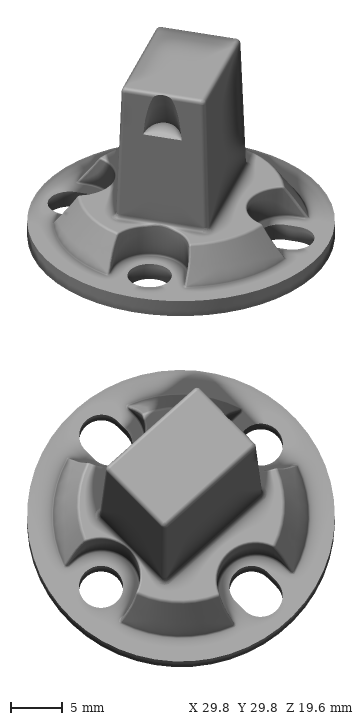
import cadquery as cq
import math

flange_radius = 14.9
flange_thickness = 1.7
bolt_circle_radius = 10.62
hole_diameter = 4.3
slot_stretch = 1.25

hub_base_radius = 12.4
hub_top_radius = 10.0
hub_top_z = 5.1
hub_rim_fillet = 0.4
notch_radius = 3.8
notch_fillet = 0.2

total_height = 19.6
post_top_width = 8.5
post_top_depth = 12.35
post_draft = 1.8
post_fillet = 0.45

recess_floor_z = 14.88
recess_radius = 1.97
recess_axis_offset = 0.4
recess_axis_tilt = 16.4
recess_floor_tilt = 30.0

pick_tolerance = 0.005

post_height = total_height - hub_top_z
draft_slope = math.tan(math.radians(post_draft))
post_base_width = post_top_width + 2 * post_height * draft_slope
post_base_depth = post_top_depth + 2 * post_height * draft_slope


def level_edges(z, half_width, half_depth):
    """Selector for edges at height z that stay inside a centred rectangle."""
    reach_x = half_width + pick_tolerance
    reach_y = half_depth + pick_tolerance
    return cq.selectors.BoxSelector(
        (-reach_x, -reach_y, z - pick_tolerance),
        (reach_x, reach_y, z + pick_tolerance),
        boundingbox=True,
    )


def make_cone():
    """Truncated cone standing on the flange, with a rounded upper rim."""
    profile = [
        (0, flange_thickness),
        (hub_base_radius, flange_thickness),
        (hub_top_radius, hub_top_z),
        (0, hub_top_z),
    ]
    cone = cq.Workplane("XZ").polyline(profile).close().revolve(360, (0, 0), (0, 1))
    return cone.faces(">Z").edges().fillet(hub_rim_fillet)


def make_post():
    """Drafted block with rounded side edges and a rounded top."""
    post = (
        cq.Workplane("XY", origin=(0, 0, hub_top_z))
        .rect(post_base_width, post_base_depth)
        .extrude(post_height, taper=post_draft)
    )
    post = post.edges("not(#Z)").fillet(post_fillet)
    return post.faces(">Z").edges().fillet(post_fillet)


def make_notch(angle):
    """U-shaped cutter around the fixing hole at this angle, open outwards."""
    plane = cq.Workplane("XY", origin=(0, 0, flange_thickness))
    round_end = plane.center(bolt_circle_radius, 0).circle(notch_radius).extrude(post_height)
    open_end = (
        plane.center(bolt_circle_radius + flange_radius / 2, 0)
        .rect(flange_radius, 2 * notch_radius)
        .extrude(post_height)
    )
    return round_end.union(open_end).rotate((0, 0, 0), (0, 0, 1), angle)


def is_notch_rim(edge):
    """True for edges that lie on a notch wall above the flange."""
    middle = edge.positionAt(0.5)
    along = max(abs(middle.x), abs(middle.y))
    across = min(abs(middle.x), abs(middle.y))
    past_centre = max(bolt_circle_radius - along, 0)
    wall_gap = abs(math.hypot(past_centre, across) - notch_radius)
    return wall_gap < pick_tolerance and middle.z > flange_thickness + pick_tolerance


def make_hub():
    """Cone and post joined by a fillet, with four rounded-off notches."""
    hub = make_cone().union(make_post())
    foot = level_edges(hub_top_z, post_base_width / 2, post_base_depth / 2)
    hub = hub.edges(foot).fillet(post_fillet)
    for angle in (0, 90, 180, 270):
        hub = hub.cut(make_notch(angle))
    rim = [edge for edge in hub.edges("not(|Z)").vals() if is_notch_rim(edge)]
    return hub.newObject(rim).fillet(notch_fillet)


def make_recess():
    """Leaning cylinder cut off by a sloping floor."""
    floor_height_below_top = total_height - recess_floor_z
    face_y = -(post_top_depth / 2 + floor_height_below_top * draft_slope)
    axis_y = face_y - recess_axis_offset
    cylinder = (
        cq.Workplane("XY")
        .circle(recess_radius)
        .extrude(post_height, both=True)
        .rotate((0, 0, 0), (1, 0, 0), recess_axis_tilt)
        .translate((0, axis_y, recess_floor_z))
    )
    space_above_floor = (
        cq.Workplane("XY")
        .box(post_height, post_height, post_height, centered=(True, True, False))
        .rotate((0, 0, 0), (1, 0, 0), recess_floor_tilt)
        .translate((0, face_y, recess_floor_z))
    )
    return cylinder.intersect(space_above_floor)


def make_fixing_holes():
    """Round holes on the Y axis and radial slots on the X axis."""
    holes = (
        cq.Workplane("XY")
        .pushPoints([(0, bolt_circle_radius), (0, -bolt_circle_radius)])
        .circle(hole_diameter / 2)
        .extrude(flange_thickness)
    )
    slots = (
        cq.Workplane("XY")
        .pushPoints([(bolt_circle_radius, 0), (-bolt_circle_radius, 0)])
        .slot2D(slot_stretch + hole_diameter, hole_diameter)
        .extrude(flange_thickness)
    )
    return holes.union(slots)


flange = cq.Workplane("XY").circle(flange_radius).extrude(flange_thickness)
body = flange.union(make_hub())
hub_foot = level_edges(flange_thickness, hub_base_radius, hub_base_radius)
body = body.edges(hub_foot).fillet(notch_fillet)
result = body.cut(make_recess()).cut(make_fixing_holes())